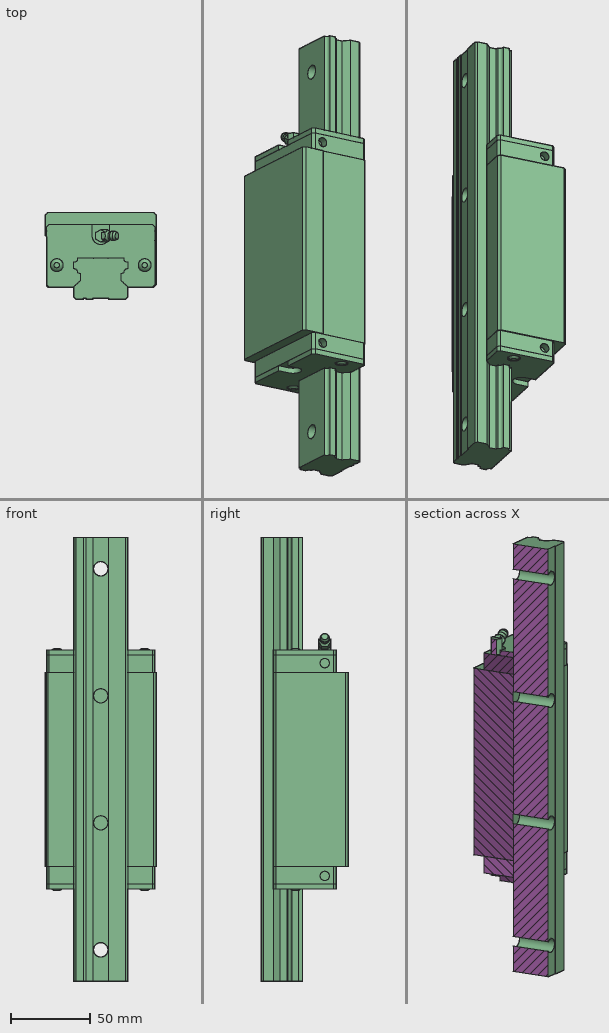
import cadquery as cq

rail_length = 280.0
rail_half_width = 17.0
rail_height = 26.0
rail_foot_height = 7.8
rail_foot_chamfer = 1.5
rail_waist_half_width = 13.0
rail_waist_bottom = 11.8
rail_waist_top = 16.2
groove_floor_x = 14.5
groove_middle_x = 15.0
upper_groove_bottom = 23.5
upper_groove_middle = 24.0
lower_groove_top = 19.3
lower_groove_middle = 18.5
lower_groove_bottom = 16.8
rail_hole_diameter = 9.0
rail_hole_count = 4
rail_hole_pitch = 80.0
channel_half_width = 5.0
channel_depth = 0.5
side_groove_x = -10.0
side_groove_half_width = 0.8

carriage_shift = -6.5
block_length = 122.5
block_half_width = 35.0
carriage_top = 55.0
carriage_bottom = 7.5
carriage_chamfer = 1.7
reference_step_height = 40.3
cap_half_width = 34.2
cap_top = 47.3
cap_length = 11.0
seal_thickness = 3.5

port_height = 40.0
port_diameter = 6.0
port_depth = 5.5
port_setback = 8.5
slot_width = 11.0
screw_x = 27.7
screw_height = 21.5
screw_diameter = 8.0
screw_recess_depth = 1.5
screw_dome_height = 0.8
screw_middle_radius = 3.0
screw_flat_diameter = 3.5

hex_across_corners = 7.8
hex_turn = 30.0
post_height = 6.7
elbow_height = 2.5
elbow_angle = 60.0
shoulder_start = 4.8
neck_start = 6.5
tip_start = 8.0
tip_bevel_start = 10.0
tip_end = 11.8
neck_diameter = 4.5
tip_diameter = 6.0
tip_end_diameter = 4.5

cap_start = block_length / 2
seal_start = cap_start + cap_length
carriage_end = seal_start + seal_thickness
port_z = carriage_end - port_setback


def bar(outline, length):
    return outline.extrude(length / 2, both=True)


def turned(profile_points):
    """Solid of revolution about Z from (radius, height) points."""
    return cq.Workplane("XZ").polyline(profile_points).close().revolve(360, (0, 0), (0, 1))


def hex_prism(height):
    prism = cq.Workplane("XY").polygon(6, hex_across_corners).extrude(height)
    return prism.rotate((0, 0, 0), (0, 0, 1), hex_turn)


def rail_outline():
    right_half = (
        cq.Workplane("XY")
        .lineTo(rail_half_width - rail_foot_chamfer, 0)
        .lineTo(rail_half_width, rail_foot_chamfer)
        .lineTo(rail_half_width, rail_foot_height)
        .lineTo(rail_waist_half_width, rail_waist_bottom)
        .lineTo(rail_waist_half_width, rail_waist_top)
        .lineTo(groove_floor_x, lower_groove_bottom)
        .threePointArc((groove_middle_x, lower_groove_middle), (rail_half_width, lower_groove_top))
        .lineTo(rail_half_width, upper_groove_bottom)
        .threePointArc((groove_middle_x, upper_groove_middle), (groove_floor_x, rail_height))
        .lineTo(0, rail_height)
    )
    return right_half.mirrorY()


def make_rail():
    channel = cq.Workplane("XY").rect(2 * channel_half_width, 2 * channel_depth)
    side_groove = (
        cq.Workplane("XY")
        .center(side_groove_x, 0)
        .rect(2 * side_groove_half_width, 2 * channel_depth)
    )
    holes = (
        cq.Workplane("XZ")
        .rarray(2.8, rail_hole_pitch, 1, rail_hole_count)
        .circle(rail_hole_diameter / 2)
        .extrude(-rail_height)
    )
    rail = bar(rail_outline(), rail_length)
    return rail.cut(bar(channel, rail_length)).cut(bar(side_groove, rail_length)).cut(holes)


def carriage_section(half_width, top, start, length):
    """Bevelled slab of the carriage with the rail passage cut through it."""
    return (
        cq.Workplane("XY", origin=(0, (top + carriage_bottom) / 2, start))
        .rect(2 * half_width, top - carriage_bottom)
        .extrude(length)
        .edges("|Z")
        .chamfer(carriage_chamfer)
        .cut(bar(rail_outline(), rail_length))
    )


def make_block():
    block = carriage_section(block_half_width, carriage_top, -block_length / 2, block_length)
    setback = block_half_width - cap_half_width
    step = (
        cq.Workplane("XY")
        .moveTo(-block_half_width, 0)
        .lineTo(-block_half_width, reference_step_height)
        .lineTo(-cap_half_width, reference_step_height - setback)
        .lineTo(-cap_half_width, 0)
        .close()
    )
    return block.cut(bar(step, block_length))


def make_cap():
    cap = carriage_section(cap_half_width, cap_top, cap_start, cap_length)
    for side in (-1, 1):
        mouth = cq.Plane((side * cap_half_width, port_height, port_z), (0, 0, 1), (-side, 0, 0))
        cap = cap.cut(cq.Workplane(mouth).circle(port_diameter / 2).extrude(port_depth))
    return cap


def make_seal():
    seal = carriage_section(cap_half_width, cap_top, seal_start, seal_thickness)
    slot_radius = slot_width / 2
    slot = (
        cq.Workplane("XY", origin=(0, 0, seal_start))
        .moveTo(-slot_radius, cap_top)
        .lineTo(-slot_radius, port_height)
        .threePointArc((0, port_height - slot_radius), (slot_radius, port_height))
        .lineTo(slot_radius, cap_top)
        .close()
        .extrude(seal_thickness)
    )
    seal = seal.cut(slot)
    for side in (-1, 1):
        seal = add_screw_head(seal, (side * screw_x, screw_height, carriage_end))
    return seal


def add_screw_head(seal, centre):
    """Domed head rising from the floor of a round recess in the seal face."""
    radius = screw_diameter / 2
    recess = cq.Workplane("XY").circle(radius).extrude(-screw_recess_depth)
    dome = (
        cq.Workplane("XZ")
        .moveTo(0, -screw_recess_depth)
        .lineTo(radius, -screw_recess_depth)
        .threePointArc((screw_middle_radius, 0), (screw_flat_diameter / 2, screw_dome_height))
        .lineTo(0, screw_dome_height)
        .close()
        .revolve(360, (0, 0), (0, 1))
    )
    return seal.cut(recess.translate(centre)).union(dome.translate(centre))


def make_nipple_head():
    """Nipple head along +Z from the origin: hexagon, tapered shoulder, neck and tip."""
    hex_radius = hex_across_corners / 2
    neck_radius = neck_diameter / 2
    tip_radius = tip_diameter / 2
    shoulder = turned([
        (0, 0),
        (hex_radius, 0),
        (hex_radius, shoulder_start),
        (neck_radius, neck_start),
        (0, neck_start),
    ])
    tip = turned([
        (0, neck_start),
        (neck_radius, neck_start),
        (tip_radius, tip_start),
        (tip_radius, tip_bevel_start),
        (tip_end_diameter / 2, tip_end),
        (0, tip_end),
    ])
    return hex_prism(neck_start).intersect(shoulder).union(tip)


def make_nipple():
    post = hex_prism(seal_thickness + post_height).translate((0, port_height, seal_start))
    head = (
        make_nipple_head()
        .rotate((0, 0, 0), (0, 1, 0), elbow_angle)
        .translate((0, port_height, carriage_end + elbow_height))
    )
    return post.union(head)


rail = make_rail()
block = make_block()
caps = [make_cap(), make_cap().mirror("XY")]
seals = [make_seal(), make_seal().mirror("XY")]
nipple = make_nipple()

carriage_place = cq.Location(cq.Vector(0, 0, carriage_shift))
carriage = [body.val().moved(carriage_place) for body in [block, *caps, *seals, nipple]]

result = cq.Compound.makeCompound([rail.val(), *carriage])